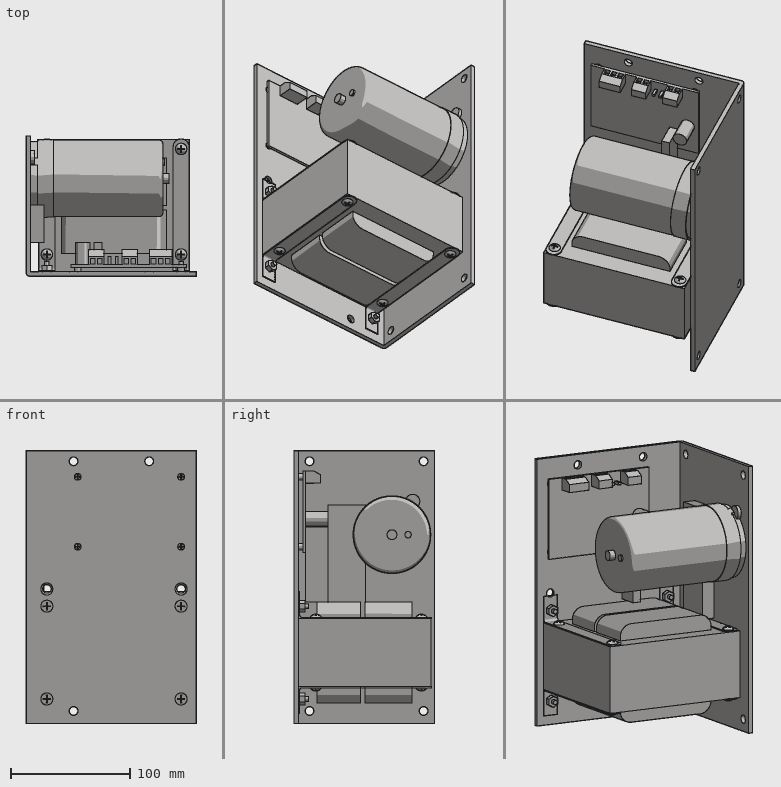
import cadquery as cq
import math

width = 142.6
depth = 117.7
height = 228.5
sheet = 4.0
bend_radius = 3.0
hole_d = 7.0
edge_hole_low = 10.5
edge_hole_high = 219.7
back_holes = [(39.8, edge_hole_high), (103.0, edge_hole_high), (39.8, edge_hole_low)]
side_hole_ys = [13.0, 108.5]

foot_screw_d = 7.0
foot_screw_head_d = 10.0
board_screw_d = 3.7
board_screw_head_d = 5.7
recess_width = 0.7
recess_depth = 1.1
recess_share = 0.6
foot_xs = [17.4, 129.8]
foot_screw_zs = [20.5, 98.3]
spare_hole_z = 112.7
board_screw_xs = [43.2, 129.8]
board_screw_zs = [148.1, 206.7]

core_x0 = 10.5
core_length = 126.2
core_top_y = 114.8
core_z0 = 30.9
core_z1 = 88.0
coil_x0 = 29.5
coil_x1 = 117.5
coil_y0 = 19.2
coil_y1 = 99.0
coil_radius = 10.5
coil_overhang = 13.7
coil_gap_y0 = 55.8
coil_gap_y1 = 59.5

foot_width = 13.3
foot_thickness = 1.0
foot_bend_radius = 1.8
foot_tip_y = 115.2
foot_tab_end = 22.6
clamp_screw_ys = [18.3, 106.8]
clamp_head_d = 9.5
clamp_head_height = 2.7
stud_d = 4.0
stud_end_y = 12.3
nut_flats = 8.5
nut_y1 = 9.1

can_y = 82.0
can_z = 158.2
can_d = 64.2
band_d = 65.2
base_d = 62.2
band_x0 = 9.5
band_x1 = 23.0
can_x1 = 114.5
can_edge_radius = 3.2
terminal_d = 8.2
terminal_x1 = 119.8
vent_y = 95.5
vent_d = 5.5
vent_x1 = 116.0
lug_y0 = 93.3
lug_y1 = 99.0
lug_screw_y = 99.5
lug_screw_d = 12.0
lug_screw_x1 = 6.9
side_block_x1 = 14.9
side_block_y0 = 28.3
side_block_y1 = 60.0
side_block_z1 = 182.9

board_x0 = 37.7
board_x1 = 134.5
board_y0 = 7.5
board_thickness = 2.3
board_top_y = board_y0 + board_thickness
board_margin = 5.0
board_z0 = board_screw_zs[0] - board_margin
board_z1 = board_screw_zs[-1] + board_margin
spacer_d = 5.7
tall_part_y1 = 28.3
drum_x = 47.5
drum_d = 12.1
drum_z = 171.5
tall_box_x0 = 56.7
tall_box_x1 = 63.8
tall_box_z1 = 164.5
connector_pitch = 6.0
connector_depth = 10.3
connector_shoulder_y = 16.5
connector_y1 = 22.5
connector_slope = 3.5
connectors = [(52.3, 12.8, 2), (80.5, 12.8, 2), (103.3, 18.7, 3)]
port_width = 4.0
port_height = 4.3
port_depth = 3.5
port_y0 = 10.5
pin_xs = [70.0, 76.0]
pin_width = 2.3
pin_y1 = 16.5
pin_z = 201.2


def box(x0, x1, y0, y1, z0, z1):
    return cq.Workplane("XY").box(x1 - x0, y1 - y0, z1 - z0, centered=False).translate((x0, y0, z0))


def cylinder_along_x(x0, x1, y, z, diameter):
    return cq.Workplane("YZ", origin=(x0, y, z)).circle(diameter / 2).extrude(x1 - x0)


def cylinder_along_y(x, y0, y1, z, diameter):
    return cq.Workplane("XZ", origin=(x, y0, z)).circle(diameter / 2).extrude(y0 - y1)


def cross_recess(plane, length):
    bar = cq.Workplane(plane).rect(length, recess_width).extrude(-recess_depth)
    return bar.union(cq.Workplane(plane).rect(recess_width, length).extrude(-recess_depth))


def countersunk_shape(x, z, head_d, shank_d, length):
    """Cone flush with the outer face at Y = 0, followed by a straight shank."""
    cone_depth = (head_d - shank_d) / 2
    profile = [(0, 0), (head_d / 2, 0), (shank_d / 2, cone_depth), (shank_d / 2, length), (0, length)]
    turned = cq.Workplane("XY").polyline(profile).close().revolve(360, (0, 0, 0), (0, 1, 0))
    return turned.translate((x, 0, z))


def foot_screw_hole(x, z):
    return countersunk_shape(x, z, foot_screw_head_d, foot_screw_d, sheet)


def board_screw_hole(x, z):
    return countersunk_shape(x, z, board_screw_head_d, board_screw_d, sheet)


def make_chassis():
    side = box(0, sheet, 0, depth, 0, height)
    chassis = box(0, width, 0, sheet, 0, height).union(side)
    chassis = chassis.edges("|Z and <X and <Y").fillet(bend_radius)
    for x, z in back_holes:
        chassis = chassis.cut(cylinder_along_y(x, 0, sheet, z, hole_d))
    for y in side_hole_ys:
        for z in (edge_hole_low, edge_hole_high):
            chassis = chassis.cut(cylinder_along_x(0, sheet, y, z, hole_d))
    for x in foot_xs:
        for z in foot_screw_zs + [spare_hole_z]:
            chassis = chassis.cut(foot_screw_hole(x, z))
    for x in board_screw_xs:
        for z in board_screw_zs:
            chassis = chassis.cut(board_screw_hole(x, z))
    return chassis


def make_foot(x):
    """Upper foot: a strap on top of the core and tab rising along the back sheet."""
    top = core_z1 + foot_thickness
    x0 = x - foot_width / 2
    shoulder_y = foot_tip_y - foot_width / 2
    strap = box(x0, x0 + foot_width, sheet, shoulder_y, core_z1, top)
    tip = cq.Workplane("XY", origin=(x, shoulder_y, core_z1)).circle(foot_width / 2).extrude(foot_thickness)
    tab = box(x0, x0 + foot_width, sheet, sheet + foot_thickness, core_z1, core_z1 + foot_tab_end)
    inner_y = sheet + foot_thickness
    bend = (
        cq.Workplane("YZ", origin=(x0, inner_y, top))
        .lineTo(foot_bend_radius, 0)
        .radiusArc((0, foot_bend_radius), foot_bend_radius)
        .close()
        .extrude(foot_width)
    )
    foot = strap.union(tip).union(tab).union(bend)
    for y in clamp_screw_ys:
        foot = foot.union(make_clamp_head(x, y, top))
    return foot


def make_clamp_head(x, y, z):
    radius = clamp_head_d / 2
    dome = (
        cq.Workplane("XZ")
        .lineTo(radius, 0)
        .radiusArc((0, clamp_head_height), -(radius**2 + clamp_head_height**2) / (2 * clamp_head_height))
        .close()
        .revolve(360, (0, 0, 0), (0, 1, 0))
    )
    recess = cross_recess(cq.Plane.XY(origin=(0, 0, clamp_head_height)), clamp_head_d * recess_share)
    return dome.cut(recess).translate((x, y, z))


def make_foot_screw(x, z):
    screw = foot_screw_hole(x, z).union(cylinder_along_y(x, sheet, stud_end_y, z, stud_d))
    nut_corner_d = nut_flats / math.cos(math.pi / 6)
    nut_plane = cq.Plane(origin=(x, sheet, z), xDir=(0, 0, 1), normal=(0, 1, 0))
    nut = cq.Workplane(nut_plane).polygon(6, nut_corner_d).extrude(nut_y1 - sheet)
    recess = cross_recess(cq.Plane.XZ(origin=(x, 0, z)), foot_screw_head_d * recess_share)
    return screw.union(nut).cut(recess)


def make_transformer():
    core = box(core_x0, core_x0 + core_length, sheet, core_top_y, core_z0, core_z1)
    transformer = core
    for y0, y1 in ((coil_y0, coil_gap_y0), (coil_gap_y1, coil_y1)):
        winding = box(coil_x0, coil_x1, y0, y1, core_z0 - coil_overhang, core_z1 + coil_overhang)
        transformer = transformer.union(winding.edges("|Y").fillet(coil_radius))
    core_mid_z = (core_z0 + core_z1) / 2
    for x in foot_xs:
        foot = make_foot(x)
        lower_foot = foot.mirror("XY", (0, 0, core_mid_z))
        transformer = transformer.union(foot).union(lower_foot)
        for z in foot_screw_zs:
            transformer = transformer.union(make_foot_screw(x, z))
    return transformer


def make_capacitor():
    can = cylinder_along_x(band_x1, can_x1, can_y, can_z, can_d).faces(">X").edges().fillet(can_edge_radius)
    capacitor = can.union(cylinder_along_x(band_x0, band_x1, can_y, can_z, band_d))
    capacitor = capacitor.union(cylinder_along_x(sheet, band_x0, can_y, can_z, base_d))
    capacitor = capacitor.union(cylinder_along_x(can_x1, terminal_x1, can_y, can_z, terminal_d))
    capacitor = capacitor.union(cylinder_along_x(can_x1, vent_x1, vent_y, can_z, vent_d))
    lug_sleeve = cylinder_along_x(sheet, band_x0, can_y, can_z, band_d)
    lug = lug_sleeve.intersect(box(sheet, band_x0, lug_y0, lug_y1, can_z, can_z + band_d / 2))
    lug_end_z = can_z + math.sqrt((band_d / 2) ** 2 - (lug_y1 - can_y) ** 2)
    lug_screw = cylinder_along_x(sheet, lug_screw_x1, lug_screw_y, lug_end_z, lug_screw_d)
    side_block = box(sheet, side_block_x1, side_block_y0, side_block_y1, core_z1, side_block_z1)
    return capacitor.union(lug).union(lug_screw).union(side_block)


def make_connector(x0, connector_width, ways):
    z0 = board_z1 - connector_depth
    body = (
        cq.Workplane("YZ", origin=(x0, 0, 0))
        .polyline([
            (board_top_y, z0),
            (board_top_y, board_z1),
            (connector_shoulder_y, board_z1),
            (connector_y1, board_z1 - connector_slope),
            (connector_y1, z0),
        ])
        .close()
        .extrude(connector_width)
    )
    for way in range(ways):
        port_x = x0 + connector_width / 2 + (way - (ways - 1) / 2) * connector_pitch
        port_x0 = port_x - port_width / 2
        port = box(
            port_x0, port_x0 + port_width, port_y0, port_y0 + port_height, board_z1 - port_depth, board_z1
        )
        body = body.cut(port)
    return body


def make_board_screw(x, z):
    recess = cross_recess(cq.Plane.XZ(origin=(x, 0, z)), board_screw_head_d * recess_share)
    spacer = cylinder_along_y(x, sheet, board_y0, z, spacer_d)
    return board_screw_hole(x, z).union(spacer).cut(recess)


def make_circuit_board():
    board = box(board_x0, board_x1, board_y0, board_top_y, board_z0, board_z1)
    for x in board_screw_xs:
        for z in board_screw_zs:
            board = board.union(make_board_screw(x, z))
    for x0, connector_width, ways in connectors:
        board = board.union(make_connector(x0, connector_width, ways))
    for x in pin_xs:
        pin = box(x - pin_width / 2, x + pin_width / 2, board_top_y, pin_y1, pin_z, pin_z + pin_width)
        board = board.union(pin)
    board = board.union(cylinder_along_y(drum_x, board_top_y, tall_part_y1, drum_z, drum_d))
    coil_top_z = core_z1 + coil_overhang
    tall_box = box(tall_box_x0, tall_box_x1, board_top_y, tall_part_y1, coil_top_z, tall_box_z1)
    return board.union(tall_box)


chassis = make_chassis()
power_supply = make_transformer().union(make_capacitor()).union(make_circuit_board())

result = cq.Compound.makeCompound([chassis.solids().val(), power_supply.solids().val()])